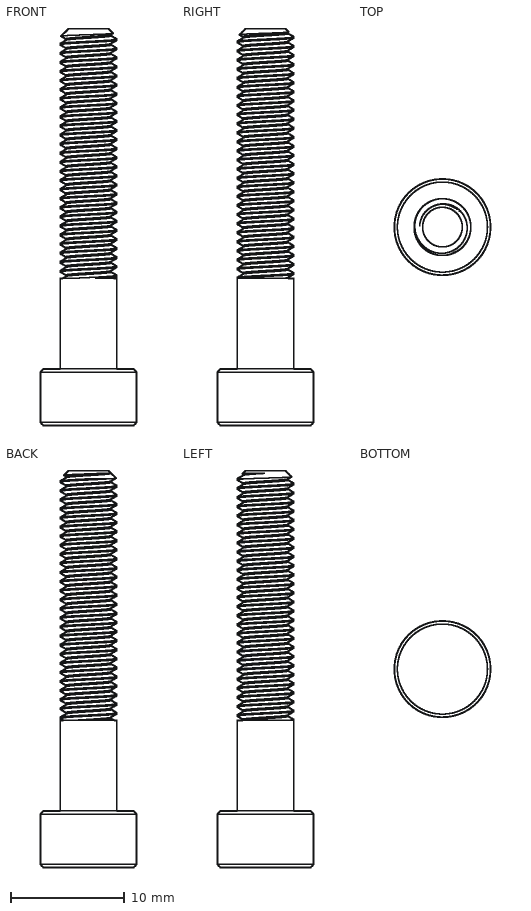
import cadquery as cq
import math

total_length = 35.0
head_diameter = 8.5
head_height = 5.0
head_chamfer = 0.28
shank_diameter = 5.0
tip_diameter = 3.5
tip_chamfer_height = 0.75

thread_length = 22.0
thread_turns = 27.5
thread_angle = 60
crest_flat_fraction = 1 / 8
root_flat_fraction = 1 / 6
crest_height_turns = 0.21

shank_radius = shank_diameter / 2
thread_start = total_length - thread_length
pitch = thread_length / thread_turns
crest_flat = pitch * crest_flat_fraction
root_flat = pitch * root_flat_fraction
flank_rise = (pitch - crest_flat - root_flat) / 2
thread_depth = flank_rise / math.tan(math.radians(thread_angle / 2))
root_radius = shank_radius - thread_depth


def make_head():
    """Cylindrical head with both rims chamfered."""
    return cq.Workplane("XY").circle(head_diameter / 2).extrude(head_height).edges("%CIRCLE").chamfer(head_chamfer)


def make_shank():
    """Plain shank between the head and the thread."""
    shank_length = thread_start - head_height
    return cq.Workplane("XY").workplane(offset=head_height).circle(shank_radius).extrude(shank_length)


def helix_turn(radius, height):
    """One turn of the thread helix, starting and ending on +X."""
    return cq.Wire.makeHelix(pitch, pitch, radius, cq.Vector(0, 0, height))


def make_long_thread():
    """Threaded rod reaching past both ends of the thread, closed by one turn of a ramp at each end."""
    spare_turns = 2
    turns = math.ceil(thread_turns) + 2 * spare_turns
    bottom = thread_start + (crest_height_turns - spare_turns) * pitch
    top = bottom + turns * pitch

    corners = [
        (shank_radius, 0),
        (shank_radius, crest_flat),
        (root_radius, crest_flat + flank_rise),
        (root_radius, crest_flat + flank_rise + root_flat),
        (shank_radius, pitch),
    ]
    faces = []
    for turn in range(turns):
        base = bottom + turn * pitch
        for (lower_radius, lower), (upper_radius, upper) in zip(corners, corners[1:]):
            lower_helix = helix_turn(lower_radius, base + lower)
            upper_helix = helix_turn(upper_radius, base + upper)
            faces += cq.Face.makeRuledSurface(lower_helix, upper_helix).Faces()

    for base in (bottom, top):
        axis = cq.Edge.makeLine(cq.Vector(0, 0, base), cq.Vector(0, 0, base + pitch))
        faces += cq.Face.makeRuledSurface(cq.Wire.assembleEdges([axis]), helix_turn(shank_radius, base)).Faces()
    for base in (bottom, top):
        step = [cq.Vector(0, 0, base)]
        step += [cq.Vector(radius, 0, base + height) for radius, height in corners]
        step += [cq.Vector(0, 0, base + pitch)]
        faces.append(cq.Face.makeFromWires(cq.Wire.makePolygon(step, close=True)))
    return cq.Workplane(cq.Solid.makeSolid(cq.Shell.makeShell(faces)))


def make_thread_limits():
    """Envelope that ends the thread flat at the shank and in a cone at the tip, clear of the crests."""
    tip_radius = tip_diameter / 2
    chamfer_slope = tip_chamfer_height / (shank_radius - tip_radius)
    outer_radius = shank_radius + pitch
    cone_height = chamfer_slope * (outer_radius - tip_radius)
    outline = [
        (0, thread_start),
        (outer_radius, thread_start),
        (outer_radius, total_length - cone_height),
        (tip_radius, total_length),
        (0, total_length),
    ]
    return cq.Workplane("XZ").polyline(outline).close().revolve(360, (0, 0), (0, 1))


thread = make_long_thread().intersect(make_thread_limits())
result = make_head().union(make_shank()).union(thread)